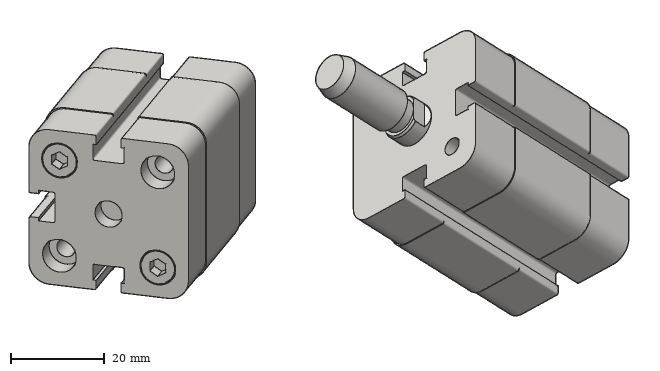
import cadquery as cq
import math

PROFILE_WIDTH = 36.1
CAP_WIDTH = 35.7
CAP_LENGTH = 12.2
BODY_LENGTH = 48.0
CORNER_RADIUS = 4.55

SLOT_MOUTH = 5.5
SLOT_WIDTH = 7.0
SLOT_LIP_OFFSET = 15.65
SLOT_FLOOR_OFFSET = 12.0
SLOT_MOUTH_FILLET = 0.45
SLOT_FLOOR_FILLET = 0.45

HOLE_SPACING = 22.0
THROUGH_DIAMETER = 4.1
COUNTERBORE_DIAMETER = 7.5
COUNTERBORE_DEPTH = 4.7
SCREW_RECESS_DIAMETER = 8.0
SCREW_HEAD_DIAMETER = 7.5
SCREW_GAP_DEPTH = 0.75
HEX_FLATS = 3.5
HEX_DEPTH = 3.0
CENTRE_HOLE_DIAMETER = 6.0
CENTRE_HOLE_DEPTH = 4.2

OVERALL_LENGTH = 74.5
ROD_DIAMETER = 10.0
TIP_DIAMETER = 8.2
TIP_LENGTH = 2.75
THREAD_LENGTH = 19.0
NECK_DIAMETER = 7.9
NECK_CONE_DIAMETER = 9.1
NECK_CONE_LENGTH = 0.45
COLLAR_LENGTH = 4.55
COLLAR_CHAMFER_LENGTH = 0.6
COLLAR_CHAMFER_HEIGHT = 0.3
WRENCH_FLATS = 8.0
WRENCH_FLAT_START = 1.1


def body_face():
    """Rear face of the body, sketched in X and Z; extrude by a negative length to go towards +Y."""
    return cq.Workplane("XZ")


def rounded_block(width, start, length):
    """Square block along Y with rounded long edges."""
    block = body_face().rect(width, width).extrude(-length)
    return block.edges("|Y").fillet(CORNER_RADIUS).translate((0, start, 0))


def slot_cutter(start, length, face_offset):
    """T-slot opening towards +Z through a flat at face_offset, with rounded mouth edges."""
    mouth = SLOT_MOUTH / 2
    flare = mouth + SLOT_MOUTH_FILLET
    fillet_start = face_offset - SLOT_MOUTH_FILLET
    fillet_mid = SLOT_MOUTH_FILLET * math.sqrt(0.5)
    mouth_cut = (
        body_face()
        .moveTo(-mouth, SLOT_FLOOR_OFFSET)
        .lineTo(mouth, SLOT_FLOOR_OFFSET)
        .lineTo(mouth, fillet_start)
        .threePointArc((flare - fillet_mid, fillet_start + fillet_mid), (flare, face_offset))
        .lineTo(-flare, face_offset)
        .threePointArc((fillet_mid - flare, fillet_start + fillet_mid), (-mouth, fillet_start))
        .close()
        .extrude(-length)
    )
    pocket_height = SLOT_LIP_OFFSET - SLOT_FLOOR_OFFSET
    pocket = (
        body_face()
        .center(0, SLOT_FLOOR_OFFSET + pocket_height / 2)
        .rect(SLOT_WIDTH, pocket_height)
        .extrude(-length)
        .edges("|Y and <Z")
        .fillet(SLOT_FLOOR_FILLET)
    )
    return mouth_cut.union(pocket).translate((0, start, 0))


def slotted_block(width, start, length):
    """Body section with T-slots on the +Z, -X and -Z sides."""
    block = rounded_block(width, start, length)
    slot = slot_cutter(start, length, width / 2)
    for angle in (0, -90, 180):
        block = block.cut(slot.rotate((0, 0, 0), (0, 1, 0), angle))
    return block


def drill(points, diameter, depth):
    """Round cutters entering the rear face."""
    return body_face().pushPoints(points).circle(diameter / 2).extrude(-depth)


def hex_sockets(points):
    """Hexagonal cutters with their corners pointing up and down."""
    corner_radius = HEX_FLATS / 2 / math.cos(math.pi / 6)
    corners = []
    for index in range(6):
        angle = math.radians(90 + 60 * index)
        corners.append((corner_radius * math.cos(angle), corner_radius * math.sin(angle)))
    socket = cq.Sketch().polygon(corners + corners[:1])
    return body_face().pushPoints(points).placeSketch(socket).extrude(-HEX_DEPTH)


def make_body():
    front_cap_start = BODY_LENGTH - CAP_LENGTH
    body = (
        slotted_block(CAP_WIDTH, 0, CAP_LENGTH)
        .union(slotted_block(PROFILE_WIDTH, CAP_LENGTH, front_cap_start - CAP_LENGTH))
        .union(slotted_block(CAP_WIDTH, front_cap_start, CAP_LENGTH))
    )
    pitch = HOLE_SPACING / 2
    mounting_points = [(pitch, pitch), (-pitch, -pitch)]
    screw_points = [(-pitch, pitch), (pitch, -pitch)]
    screw_gap = drill(screw_points, SCREW_RECESS_DIAMETER, SCREW_GAP_DEPTH).cut(
        drill(screw_points, SCREW_HEAD_DIAMETER, SCREW_GAP_DEPTH)
    )
    return (
        body.cut(drill(mounting_points, THROUGH_DIAMETER, BODY_LENGTH))
        .cut(drill(mounting_points, COUNTERBORE_DIAMETER, COUNTERBORE_DEPTH))
        .cut(drill([(0, 0)], CENTRE_HOLE_DIAMETER, CENTRE_HOLE_DEPTH))
        .cut(screw_gap)
        .cut(hex_sockets(screw_points))
    )


def make_rod():
    rod_radius = ROD_DIAMETER / 2
    neck_radius = NECK_DIAMETER / 2
    collar_end = BODY_LENGTH + COLLAR_LENGTH
    thread_start = OVERALL_LENGTH - THREAD_LENGTH
    half_profile = [
        (0, BODY_LENGTH),
        (rod_radius, BODY_LENGTH),
        (rod_radius, collar_end - COLLAR_CHAMFER_LENGTH),
        (rod_radius - COLLAR_CHAMFER_HEIGHT, collar_end),
        (neck_radius, collar_end),
        (neck_radius, thread_start - NECK_CONE_LENGTH),
        (NECK_CONE_DIAMETER / 2, thread_start),
        (rod_radius, thread_start),
        (rod_radius, OVERALL_LENGTH - TIP_LENGTH),
        (TIP_DIAMETER / 2, OVERALL_LENGTH),
        (0, OVERALL_LENGTH),
    ]
    rod = cq.Workplane("XY").polyline(half_profile).close().revolve(360, (0, 0, 0), (0, 1, 0))

    flat = WRENCH_FLATS / 2
    runout = flat + WRENCH_FLAT_START
    flat_cut = (
        cq.Workplane("XY")
        .moveTo(flat, collar_end)
        .lineTo(flat, BODY_LENGTH + WRENCH_FLAT_START)
        .lineTo(runout, BODY_LENGTH)
        .lineTo(runout, collar_end)
        .close()
        .extrude(rod_radius, both=True)
    )
    return rod.cut(flat_cut).cut(flat_cut.mirror("YZ"))


result = make_body().union(make_rod())